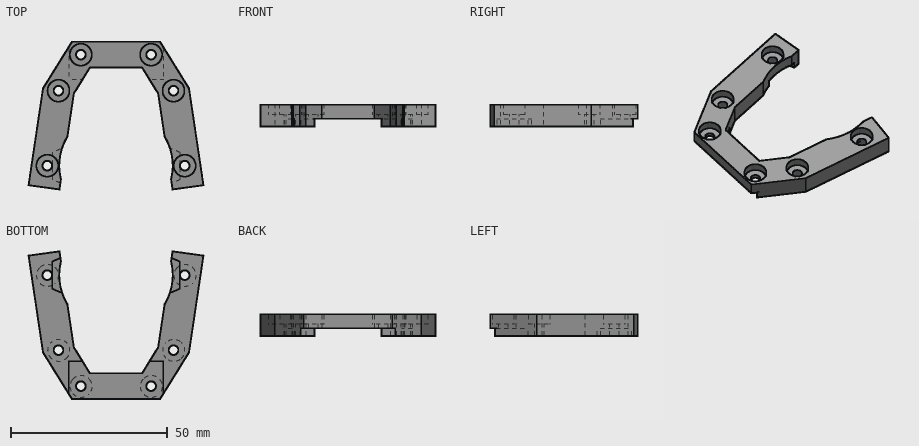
import cadquery as cq
import math

thickness = 7.0
overall_width = 55.8
overall_length = 47.12

bridge_half_width = 14.05
outer_corner_x = 23.3
outer_corner_y = -14.9
arm_tip_outer_y = -45.75

bridge_depth = 8.25
inner_bridge_half_width = 8.3
inner_corner_x = 13.4
inner_corner_y = -16.5
arm_tip_inner_x = 18.0

hole_diameter = 3.0
counterbore_diameter = 7.0
counterbore_depth = 3.0
arm_hole_x = 21.9
arm_hole_y = -39.5
hole_centers = [
    (11.2, -bridge_depth / 2),
    (18.33, -15.6),
    (arm_hole_x, arm_hole_y),
]

bore_radius = 18.05

recess_height = 2.5
bridge_recess_width = 30.0
bridge_recess_length = 12.0
arm_pocket_length = 11.0
arm_pocket_mouth_x = 17.68
arm_pocket_end_x = 20.3
arm_pocket_taper_angle = 24.0


def mirrored_outline(right_points):
    """Close an outline from its right-half points and their mirror images across X = 0."""
    left_points = [(-x, y) for x, y in reversed(right_points)]
    return cq.Workplane("XY").polyline(right_points + left_points).close()


def make_bracket():
    outer_points = [
        (bridge_half_width, 0),
        (outer_corner_x, outer_corner_y),
        (overall_width / 2, arm_tip_outer_y),
    ]
    inner_points = [
        (arm_tip_inner_x, -overall_length),
        (inner_corner_x, inner_corner_y),
        (inner_bridge_half_width, -bridge_depth),
    ]
    return mirrored_outline(outer_points + inner_points).extrude(thickness)


def make_bore():
    return cq.Workplane("XY").center(0, arm_hole_y).circle(bore_radius).extrude(thickness)


def make_bridge_recess():
    """Rectangular underside relief across the bridge, open at the back."""
    return (
        cq.Workplane("XY")
        .center(0, -bridge_recess_length / 2)
        .rect(bridge_recess_width, bridge_recess_length)
        .extrude(recess_height)
    )


def make_arm_pockets():
    """Underside pocket spanning both arms, with ends that taper into each arm."""
    taper_depth = arm_pocket_end_x - arm_pocket_mouth_x
    taper = taper_depth * math.tan(math.radians(arm_pocket_taper_angle))
    back_y = arm_hole_y + arm_pocket_length / 2
    front_y = arm_hole_y - arm_pocket_length / 2
    right_points = [
        (arm_pocket_mouth_x, back_y),
        (arm_pocket_end_x, back_y - taper),
        (arm_pocket_end_x, front_y + taper),
        (arm_pocket_mouth_x, front_y),
    ]
    return mirrored_outline(right_points).extrude(recess_height)


def cut_screw_holes(body):
    left_centers = [(-x, y) for x, y in hole_centers]
    return (
        body.faces(">Z")
        .workplane(origin=(0, 0, thickness))
        .pushPoints(hole_centers + left_centers)
        .cboreHole(hole_diameter, counterbore_diameter, counterbore_depth)
    )


bracket = make_bracket()
bracket = bracket.cut(make_bore())
bracket = bracket.cut(make_bridge_recess())
bracket = bracket.cut(make_arm_pockets())
result = cut_screw_holes(bracket)